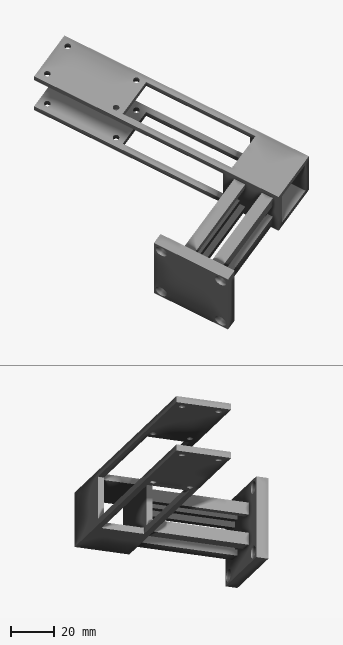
import cadquery as cq

overall_length = 138.5
overall_depth = 83.0

flange_side = 40.0
flange_thickness = 6.0
flange_hole_diameter = 6.1
flange_hole_inset = 4.0

box_side = 27.0
wall = 3.0
arm_hole_diameter = 3.0
arm_hole_inset = 4.5
arm_hole_spacing = 37.1
window_length = 59.0

rod_side = 6.0
rod_wall = 3.0

flange_center_x = overall_length - flange_side / 2
box_start_x = flange_center_x - box_side / 2
side_wall_start_x = box_start_x - wall
arm_length = box_start_x + box_side
rod_length = overall_depth - box_side - flange_thickness
rod_offset = box_side / 2 - wall - rod_side / 2
inner_side = box_side - 2 * wall


def block(x, y, z, length, depth, height):
    """Block that starts at x and y and is centred on height z."""
    return cq.Workplane("XY").box(length, depth, height, centered=(False, False, True)).translate((x, y, z))


def make_arms():
    """Box with open ends, its two drilled arms and the window in each arm."""
    arms = block(0, 0, 0, arm_length, box_side, box_side)
    arms = arms.cut(block(0, 0, 0, side_wall_start_x, box_side, inner_side))
    arms = arms.cut(block(side_wall_start_x, wall, 0, arm_length - side_wall_start_x, inner_side, inner_side))
    window = block(box_start_x - window_length, wall, 0, window_length, inner_side, box_side)
    hole_points = [
        (x, y)
        for x in (arm_hole_inset, arm_hole_inset + arm_hole_spacing)
        for y in (arm_hole_inset, box_side - arm_hole_inset)
    ]
    holes = (
        cq.Workplane("XY")
        .pushPoints(hole_points)
        .circle(arm_hole_diameter / 2)
        .extrude(box_side / 2, both=True)
    )
    return arms.cut(window).cut(holes)


def make_rods():
    """Four L-section rods with their outer corners on a square and their hollows facing its centre."""
    bore_side = inner_side - 2 * rod_wall
    rods = cq.Workplane("XY")
    for side_x in (-1, 1):
        for side_z in (-1, 1):
            rod_start_x = flange_center_x + side_x * rod_offset - rod_side / 2
            rod = block(rod_start_x, -rod_length, side_z * rod_offset, rod_side, rod_length, rod_side)
            rods = rods.add(rod)
    bore = block(flange_center_x - bore_side / 2, -rod_length, 0, bore_side, rod_length, bore_side)
    return rods.combine().cut(bore)


def make_flange():
    """Square plate with a through hole near each corner."""
    hole_spacing = flange_side - 2 * flange_hole_inset
    flange = block(
        flange_center_x - flange_side / 2,
        -rod_length - flange_thickness,
        0,
        flange_side,
        flange_thickness,
        flange_side,
    )
    return (
        flange.faces("<Y")
        .workplane(centerOption="CenterOfBoundBox")
        .rarray(hole_spacing, hole_spacing, 2, 2)
        .hole(flange_hole_diameter)
    )


result = make_arms().union(make_rods()).union(make_flange())